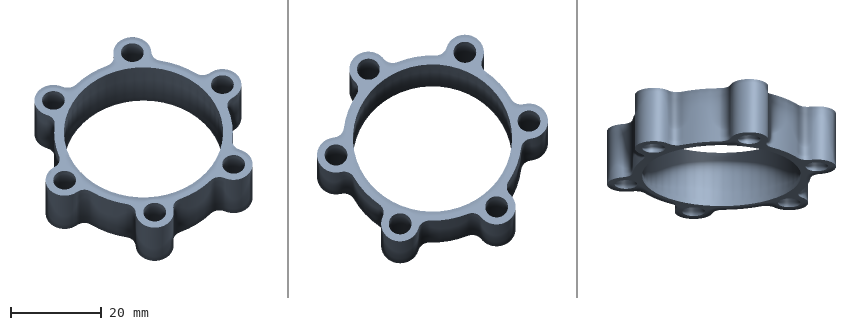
import cadquery as cq
import math

height = 12.7
bore_diameter = 35.0
ring_outer_diameter = 39.3

lug_count = 6
overall_length = 51.55
lug_radius = 4.2
bolt_hole_diameter = 5.0
root_fillet_radius = 2.5
bolt_circle_radius = overall_length / 2 - lug_radius


def make_lug():
    """Round-ended lug with straight flanks running inward to the ring axis."""
    flanks = (
        cq.Workplane("XY")
        .rect(bolt_circle_radius, 2 * lug_radius, centered=False)
        .extrude(height)
        .translate((0, -lug_radius, 0))
    )
    tip = cq.Workplane("XY").center(bolt_circle_radius, 0).circle(lug_radius).extrude(height)
    return flanks.union(tip)


def make_body():
    """Solid disc with all lugs, blended where the flanks meet the rim."""
    body = cq.Workplane("XY").circle(ring_outer_diameter / 2).extrude(height)
    lug = make_lug()
    for i in range(lug_count):
        body = body.union(lug.rotate((0, 0, 0), (0, 0, 1), i * 360 / lug_count))

    rim_radius = ring_outer_diameter / 2
    split_radius = (rim_radius + bolt_circle_radius) / 2
    root_edges = body.edges("|Z").filter(
        lambda edge: math.hypot(edge.Center().x, edge.Center().y) < split_radius
    )
    return root_edges.fillet(root_fillet_radius)


bolt_holes = (
    cq.Workplane("XY")
    .polarArray(bolt_circle_radius, 0, 360, lug_count)
    .circle(bolt_hole_diameter / 2)
    .extrude(height)
)
bore = cq.Workplane("XY").circle(bore_diameter / 2).extrude(height)

result = make_body().cut(bore).cut(bolt_holes)